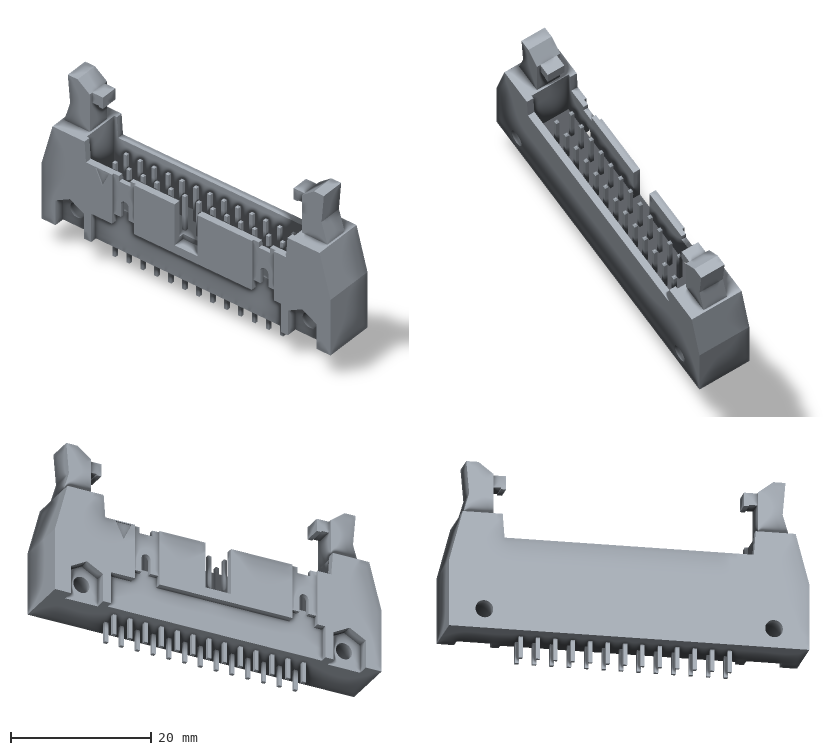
import cadquery as cq


length = 52.6
depth = 8.5
wall_top = 13.8
tower_top = 17.35
shoulder_height = 9.9
tower_outer_x = 24.3
tower_inner_top_x = 18.45
tower_inner_base_x = 18.2
wall = 1.1
cavity_length = 37.85
floor_height = 7.35
front = -depth / 2

pin_columns = 13
pin_row_length = 30.5
pin_pitch = pin_row_length / (pin_columns - 1)
pin_size = 0.6
pin_tip_chamfer = 0.2
pin_top = 13.6
pin_bottom = -3.2

base_recess_length = 34.5
base_recess_height = 5.05
key_width = 4.1
key_bottom = 6.45
key_depth = 1.95
notch_columns = (-4.5, 5.5)
notch_width = 4.0
notch_depth = 0.35
notch_ledge = 6.65
rim_gap_width = 2.05
rim_gap_height = 0.95
slot_width = 1.4
slot_top = 9.6
marker_width = 2.5
marker_height = 2.65
marker_top = 13.6
marker_depth = 0.2

mount_x = 21.15
mount_hole_diameter = 2.6
mount_hole_height = 2.85
pocket_width = 5.2
pocket_side_height = 4.4
pocket_apex_height = 5.85
pocket_depth = 1.75

latch_width = 4.0
latch_top = 25.7
latch_inner_x = 19.3
latch_base_x = 23.95
latch_waist_x = 22.9
latch_waist_height = 20.9
latch_tip_x = 23.3
latch_bevel_x = 21.5
hook_width = 2.85
hook_tip_x = 17.35
hook_top = 24.05
hook_bottom = 22.25
lip_thickness = 0.75
lip_bottom = 22.05


def block(x_range, y_range, z_range):
    """Axis-aligned box given by its limits."""
    (x0, x1), (y0, y1), (z0, z1) = x_range, y_range, z_range
    return cq.Workplane("XY").box(x1 - x0, y1 - y0, z1 - z0, centered=False).translate((x0, y0, z0))


def centred_block(x_centre, width, y_range, z_range):
    """Box centred on x_centre."""
    return block((x_centre - width / 2, x_centre + width / 2), y_range, z_range)


def plate(points, y_start, thickness):
    """Prism with an XZ outline, growing toward +Y from y_start."""
    return cq.Workplane("XZ", origin=(0, y_start, 0)).polyline(points).close().extrude(-thickness)


def both_ends(shape):
    """The shape together with its mirror image at the other end."""
    return shape.union(shape.mirror("YZ"))


def housing_shell():
    right_half = [
        (length / 2, 0),
        (length / 2, shoulder_height),
        (tower_outer_x, tower_top),
        (tower_inner_top_x, tower_top),
        (tower_inner_base_x, wall_top),
    ]
    left_half = [(-x, z) for x, z in reversed(right_half)]
    shell = plate(right_half + left_half, front, depth)
    cavity = centred_block(0, cavity_length, (front + wall, -front - wall), (floor_height, tower_top))
    return shell.cut(cavity)


def base_recess():
    return centred_block(0, base_recess_length, (front, front + wall), (0, base_recess_height))


def key_slot():
    return centred_block(0, key_width, (front, front + key_depth), (key_bottom, wall_top))


def front_notch(x):
    """Shallow notch with a deeper foot, a gap in the rim and a round-topped slot through the wall."""
    wall_span = (front, front + wall)
    panel = centred_block(x, notch_width, (front, front + notch_depth), (base_recess_height, wall_top))
    foot = centred_block(x, notch_width, wall_span, (base_recess_height, notch_ledge))
    rim_gap = centred_block(x, rim_gap_width, wall_span, (wall_top - rim_gap_height, wall_top))
    arch_centre = slot_top - slot_width / 2
    slot = (
        cq.Workplane("XZ", origin=(x, front, 0))
        .moveTo(-slot_width / 2, notch_ledge)
        .lineTo(slot_width / 2, notch_ledge)
        .lineTo(slot_width / 2, arch_centre)
        .threePointArc((0, slot_top), (-slot_width / 2, arch_centre))
        .close()
        .extrude(-wall)
    )
    return panel.union(foot).union(rim_gap).union(slot)


def front_notches():
    left, right = [front_notch(column * pin_pitch) for column in notch_columns]
    return left.union(right)


def pin_one_marker():
    x = -pin_row_length / 2
    triangle = [
        (x - marker_width / 2, marker_top),
        (x + marker_width / 2, marker_top),
        (x, marker_top - marker_height),
    ]
    return plate(triangle, front, marker_depth)


def mounting_pocket():
    """Gable-topped pocket, open at the underside, with a hole through to the back."""
    gable = [
        (mount_x - pocket_width / 2, 0),
        (mount_x + pocket_width / 2, 0),
        (mount_x + pocket_width / 2, pocket_side_height),
        (mount_x, pocket_apex_height),
        (mount_x - pocket_width / 2, pocket_side_height),
    ]
    hole = (
        cq.Workplane("XZ", origin=(mount_x, front, mount_hole_height))
        .circle(mount_hole_diameter / 2)
        .extrude(-depth)
    )
    return plate(gable, front, pocket_depth).union(hole)


def latch():
    lever = plate(
        [
            (latch_inner_x, tower_top),
            (latch_base_x, tower_top),
            (latch_waist_x, latch_waist_height),
            (latch_tip_x, latch_top),
            (latch_bevel_x, latch_top),
            (latch_inner_x, hook_top),
        ],
        -latch_width / 2,
        latch_width,
    )
    hook = plate(
        [
            (latch_inner_x, hook_top),
            (hook_tip_x, hook_top),
            (hook_tip_x, lip_bottom),
            (hook_tip_x + lip_thickness, lip_bottom),
            (hook_tip_x + lip_thickness, hook_bottom),
            (latch_inner_x, hook_bottom),
        ],
        -hook_width / 2,
        hook_width,
    )
    return lever.union(hook)


def pins():
    return (
        cq.Workplane("XY", origin=(0, 0, pin_bottom))
        .rarray(pin_pitch, pin_pitch, pin_columns, 2)
        .rect(pin_size, pin_size)
        .extrude(pin_top - pin_bottom)
        .faces(">Z")
        .chamfer(pin_tip_chamfer)
    )


result = (
    housing_shell()
    .cut(base_recess())
    .cut(key_slot())
    .cut(front_notches())
    .cut(pin_one_marker())
    .cut(both_ends(mounting_pocket()))
    .union(both_ends(latch()))
    .union(pins())
)